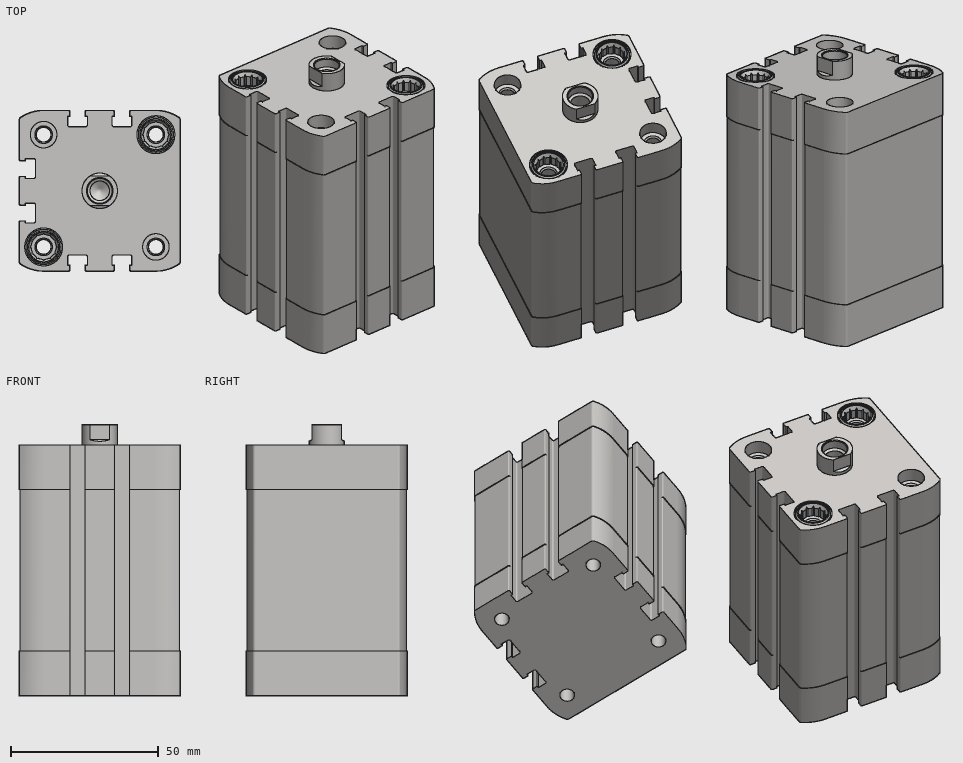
import cadquery as cq
import math

total_height = 91.7
body_width = 54.5
rod_projection = 6.8
body_height = total_height - rod_projection
half_width = body_width / 2
cut_clearance = 0.9

cap_height = 15.1
barrel_height = body_height - 2 * cap_height
barrel_inset = 0.2
screw_offset = 19.0
corner_radius = 14.2
corner_fillet = 1.0

slot_offset = 7.5
slot_mouth = 5.2
slot_width = 6.6
slot_depth = 5.5
lip_depth = 2.1
lip_round = 0.4
slot_floor_round = 0.5

screw_bore = 4.95
screw_mouth = 6.0
screw_mouth_depth = (screw_mouth - screw_bore) / 2
hole_depth = 4.9
plain_hole = 9.0

collar_recess = 12.8
collar_diameter = 11.9
collar_land = 10.9
collar_rim = 10.1
collar_slope_depth = (collar_diameter - collar_land) / 2
spline_count = 12
spline_bore = 8.4
spline_groove_diameter = 9.2
spline_groove_width = 0.7
lead_in_angle = 30.0
lead_in_depth = (collar_rim - spline_bore) / 2 / math.tan(math.radians(lead_in_angle))

rod_diameter = 12.0
rod_length = rod_projection + cap_height
rod_base = total_height - rod_length
flat_distance = 10.0
flat_height = 5.0
flat_slope_angle = 30.0
drill_tip_angle = 30.0
thread_mouth = 9.0
counterbore = 8.4
counterbore_depth = 3.3
thread_bore = 6.6
thread_mouth_depth = (thread_mouth - counterbore) / 2
thread_seat_depth = (counterbore - thread_bore) / 2 * math.tan(math.radians(drill_tip_angle))
thread_depth = 12.8
drill_tip_depth = thread_bore / 2 * math.tan(math.radians(drill_tip_angle))


def slot_cutter(face_distance, height):
    """T-slot centred on X = 0, open toward +Y at the given face distance."""
    mouth = slot_mouth / 2
    wide = slot_width / 2
    lip_end = half_width - lip_depth
    floor = half_width - slot_depth
    bend = lip_round * (1 - math.sqrt(0.5))
    lip_start = face_distance - lip_round
    flare = mouth + lip_round
    outside = face_distance + cut_clearance

    neck = (
        cq.Workplane("XY")
        .moveTo(-mouth, floor)
        .lineTo(-mouth, lip_start)
        .threePointArc((-mouth - bend, face_distance - bend), (-flare, face_distance))
        .lineTo(-flare, outside)
        .lineTo(flare, outside)
        .lineTo(flare, face_distance)
        .threePointArc((mouth + bend, face_distance - bend), (mouth, lip_start))
        .lineTo(mouth, floor)
        .close()
        .extrude(height)
    )
    chamber = (
        cq.Workplane("XY")
        .moveTo(-wide, floor)
        .lineTo(wide, floor)
        .lineTo(wide, lip_end)
        .lineTo(-wide, lip_end)
        .close()
        .extrude(height)
        .edges("|Z and <Y")
        .fillet(slot_floor_round)
    )
    return chamber.union(neck)


def body_section(base, height, inset):
    """One length of the slotted profile, with every outer face moved in by inset."""
    face = half_width - inset
    radius = corner_radius - inset
    arc_centre = face - radius
    arc_run = face - screw_offset
    arc_end = arc_centre + math.sqrt(radius**2 - arc_run**2)
    half_angle = math.asin(arc_run / radius) / 2
    mid_x = screw_offset + radius * math.sin(half_angle)
    mid_y = arc_centre + radius * math.cos(half_angle)

    section = (
        cq.Workplane("XY")
        .moveTo(-screw_offset, face)
        .lineTo(screw_offset, face)
        .threePointArc((mid_x, mid_y), (face, arc_end))
        .lineTo(face, -arc_end)
        .threePointArc((mid_x, -mid_y), (screw_offset, -face))
        .lineTo(-screw_offset, -face)
        .threePointArc((-mid_x, -mid_y), (-face, -arc_end))
        .lineTo(-face, arc_end)
        .threePointArc((-mid_x, mid_y), (-screw_offset, face))
        .close()
        .extrude(height)
        .edges("|Z")
        .edges("<X or >X")
        .fillet(corner_fillet)
    )
    cutter = slot_cutter(face, height)
    for turn in (0, 90, 180):
        for side in (-1, 1):
            slot = cutter.translate((side * slot_offset, 0, 0))
            section = section.cut(slot.rotate((0, 0, 0), (0, 0, 1), turn))
    return section.translate((0, 0, base))


def turned(profile):
    """Solid of revolution about Z from (radius, height) points."""
    return cq.Workplane("XZ").polyline(profile).close().revolve(360, (0, 0), (0, 1))


def screw_hole():
    """Through bore with a tapered mouth at the floor of a corner hole; top of the body at Z = 0."""
    return turned([
        (0, -body_height),
        (screw_bore / 2, -body_height),
        (screw_bore / 2, -hole_depth - screw_mouth_depth),
        (screw_mouth / 2, -hole_depth),
        (0, -hole_depth),
    ])


def plain_cutter():
    """Stepped hole for a plain corner."""
    counterbored = cq.Workplane("XY").circle(plain_hole / 2).extrude(-hole_depth)
    return counterbored.union(screw_hole())


def collar_cutter():
    """Splined socket and the V-shaped ring around its rim."""
    rim_ring = turned([
        (collar_land / 2, 0),
        (collar_diameter / 2, -collar_slope_depth),
        (collar_recess / 2, -collar_slope_depth),
        (collar_recess / 2, 0),
    ])
    lead_in = turned([
        (0, 0),
        (collar_rim / 2, 0),
        (spline_bore / 2, -lead_in_depth),
        (0, -lead_in_depth),
    ])
    socket = cq.Workplane("XY").circle(spline_bore / 2).extrude(-hole_depth)
    groove = (
        cq.Workplane("XY")
        .moveTo(0, -spline_groove_width / 2)
        .lineTo(spline_bore / 2, -spline_groove_width / 2)
        .lineTo(spline_groove_diameter / 2, 0)
        .lineTo(spline_bore / 2, spline_groove_width / 2)
        .lineTo(0, spline_groove_width / 2)
        .close()
        .extrude(-hole_depth)
    )
    for index in range(spline_count):
        socket = socket.union(groove.rotate((0, 0, 0), (0, 0, 1), index * 360 / spline_count))
    return socket.union(lead_in).union(rim_ring).union(screw_hole())


def make_housing():
    """Cylinder housing: caps, barrel, corner holes and the seat for the rod."""
    housing = (
        body_section(0, cap_height, 0)
        .union(body_section(cap_height, barrel_height, barrel_inset))
        .union(body_section(cap_height + barrel_height, cap_height, 0))
    )
    plain = plain_cutter()
    collar = collar_cutter()
    for side in (-1, 1):
        housing = housing.cut(plain.translate((side * screw_offset, -side * screw_offset, body_height)))
        housing = housing.cut(collar.translate((side * screw_offset, side * screw_offset, body_height)))
    rod_seat = cq.Workplane("XY").workplane(offset=rod_base).circle(rod_diameter / 2).extrude(rod_length)
    return housing.cut(rod_seat)


def make_rod():
    """Piston rod with two wrench flats and a tapped hole in its end."""
    rod = cq.Workplane("XY").workplane(offset=rod_base).circle(rod_diameter / 2).extrude(rod_length)

    flat = flat_distance / 2
    flat_bottom = total_height - flat_height
    clear = rod_diameter / 2 + cut_clearance
    slope_drop = (clear - flat) * math.tan(math.radians(flat_slope_angle))
    flat_cutter = (
        cq.Workplane("YZ")
        .moveTo(flat, total_height)
        .lineTo(flat, flat_bottom)
        .lineTo(clear, flat_bottom - slope_drop)
        .lineTo(clear, total_height)
        .close()
        .extrude(rod_diameter / 2, both=True)
    )
    rod = rod.cut(flat_cutter).cut(flat_cutter.mirror("XZ"))

    thread_hole = turned([
        (0, 0),
        (thread_mouth / 2, 0),
        (counterbore / 2, -thread_mouth_depth),
        (counterbore / 2, -counterbore_depth),
        (thread_bore / 2, -counterbore_depth - thread_seat_depth),
        (thread_bore / 2, -thread_depth),
        (0, -thread_depth - drill_tip_depth),
    ])
    return rod.cut(thread_hole.translate((0, 0, total_height)))


housing = make_housing()
rod = make_rod()

result = cq.Compound.makeCompound([housing.val(), rod.val()])